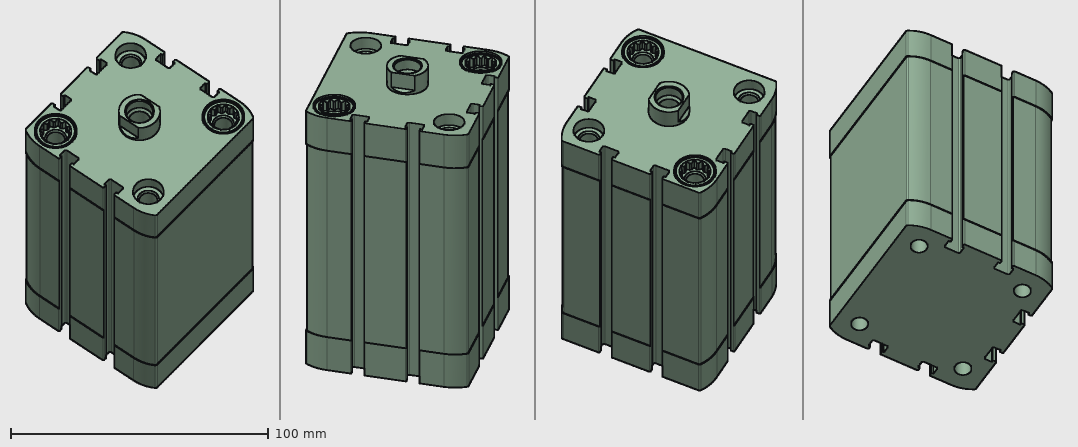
import cadquery as cq
import math

WIDTH = 65.5
TOTAL_HEIGHT = 123.2
ROD_EXPOSED = 8.3
CAP_HEIGHT = 15.0
TUBE_INSET = 0.2
HOUSING_HEIGHT = TOTAL_HEIGHT - ROD_EXPOSED
HALF_WIDTH = WIDTH / 2

CORNER_RUN = 9.2
CORNER_DROP = 2.7
CORNER_EDGE_RADIUS = 1.0

SLOT_OFFSET = 11.1
SLOT_MOUTH = 5.2
SLOT_INNER = 6.9
SLOT_LIP = 1.6
SLOT_DEPTH = 5.0
SLOT_EDGE_ROUNDING = 0.4
SLOT_FLOOR_ROUNDING = 0.6

HOLE_OFFSET = 23.2
HOLE_DIAMETER = 6.7
HOLE_MOUTH_DIAMETER = 7.0
HOLE_CHAMFER_DIAMETER = 8.4
RECESS_DIAMETER = 12.0
RECESS_DEPTH = 5.0

COLLAR_BORE_DIAMETER = 16.4
COLLAR_BORE_DEPTH = 1.0
COLLAR_DIAMETER = 15.5
COLLAR_CHAMFER = 0.4
COLLAR_DROP = 0.4
SOCKET_POINTS = 12
SOCKET_OUTER_DIAMETER = 12.5
SOCKET_INNER_DIAMETER = 10.5
SOCKET_TOOTH_TIP = 0.7
SOCKET_LEAD_DIAMETER = 12.2
SOCKET_LEAD_DEPTH = 1.0

ROD_DIAMETER = 16.0
ROD_INSERTED = CAP_HEIGHT
FLATS_WIDTH = 12.9
FLATS_BASE = 1.6
FLATS_SLOPE_ANGLE = 30.0
THREAD_DIAMETER = 10.5
THREAD_MOUTH_DIAMETER = 11.3
THREAD_MOUTH_DEPTH = 0.5
THREAD_DEPTH = 4.9
DRILL_DIAMETER = 8.4
DRILL_DEPTH = 14.8
DRILL_POINT_ANGLE = 118.0


def cone(base_diameter, top_diameter, base_z, top_z):
    """Cone frustum (or pointed cone) around the Z axis."""
    return cq.Workplane(cq.Solid.makeCone(
        base_diameter / 2, top_diameter / 2, top_z - base_z, pnt=cq.Vector(0, 0, base_z)))


def cylinder(diameter, base_z, top_z):
    """Cylinder around the Z axis."""
    return cq.Workplane("XY", origin=(0, 0, base_z)).circle(diameter / 2).extrude(top_z - base_z)


def polar_point(radius, angle):
    """X and Y of a point at an angle in radians."""
    return (radius * math.cos(angle), radius * math.sin(angle))


def profile_block(inset, base_z, height):
    """Square block whose +Y and -Y sides curve down towards the corners."""
    side = HALF_WIDTH - inset
    flat_end = HALF_WIDTH - CORNER_RUN
    shoulder = side - CORNER_DROP
    radius = ((side - flat_end) ** 2 + CORNER_DROP ** 2) / (2 * CORNER_DROP)
    outline = (
        cq.Workplane("XY", origin=(0, 0, base_z))
        .moveTo(-flat_end, side)
        .lineTo(flat_end, side)
        .radiusArc((side, shoulder), radius)
        .lineTo(side, -shoulder)
        .radiusArc((flat_end, -side), radius)
        .lineTo(-flat_end, -side)
        .radiusArc((-side, -shoulder), radius)
        .lineTo(-side, shoulder)
        .radiusArc((-flat_end, side), radius)
        .close()
    )
    block = outline.extrude(height)
    return block.edges("|Z and (>X or <X)").fillet(CORNER_EDGE_RADIUS)


def slot_cutter():
    """T-slot running up the +Y side at X = 0, with rounded mouth edges and floor corners."""
    mouth = SLOT_MOUTH / 2
    inner = SLOT_INNER / 2
    lip = HALF_WIDTH - SLOT_LIP
    floor = HALF_WIDTH - SLOT_DEPTH
    rounding = SLOT_EDGE_ROUNDING
    corner = SLOT_FLOOR_ROUNDING
    return (
        cq.Workplane("XY")
        .moveTo(-mouth - rounding, HALF_WIDTH)
        .radiusArc((-mouth, HALF_WIDTH - rounding), rounding)
        .lineTo(-mouth, lip)
        .lineTo(-inner, lip)
        .lineTo(-inner, floor + corner)
        .radiusArc((-inner + corner, floor), -corner)
        .lineTo(inner - corner, floor)
        .radiusArc((inner, floor + corner), -corner)
        .lineTo(inner, lip)
        .lineTo(mouth, lip)
        .lineTo(mouth, HALF_WIDTH - rounding)
        .radiusArc((mouth + rounding, HALF_WIDTH), rounding)
        .close()
        .extrude(HOUSING_HEIGHT)
    )


def screw_hole():
    """Through hole, a little wider in the upper cap and chamfered at the recess floor."""
    floor = HOUSING_HEIGHT - RECESS_DEPTH
    chamfer = (HOLE_CHAMFER_DIAMETER - HOLE_MOUTH_DIAMETER) / 2
    hole = cylinder(HOLE_DIAMETER, 0, floor)
    hole = hole.union(cylinder(HOLE_MOUTH_DIAMETER, HOUSING_HEIGHT - CAP_HEIGHT, floor))
    return hole.union(cone(HOLE_MOUTH_DIAMETER, HOLE_CHAMFER_DIAMETER, floor - chamfer, floor))


def plain_recess():
    """Round screw-head recess and its hole."""
    recess = cylinder(RECESS_DIAMETER, HOUSING_HEIGHT - RECESS_DEPTH, HOUSING_HEIGHT)
    return recess.union(screw_hole())


def star_socket():
    """Twelve-point socket inside a chamfered collar, the groove around it, and its hole."""
    floor = HOUSING_HEIGHT - RECESS_DEPTH
    collar_top = HOUSING_HEIGHT - COLLAR_DROP
    collar_base = HOUSING_HEIGHT - COLLAR_BORE_DEPTH
    collar = cylinder(COLLAR_DIAMETER, collar_base, collar_top).faces(">Z").chamfer(COLLAR_CHAMFER)
    cutter = cylinder(COLLAR_BORE_DIAMETER, collar_base, HOUSING_HEIGHT).cut(collar)

    valley_radius = SOCKET_OUTER_DIAMETER / 2
    tip_radius = SOCKET_INNER_DIAMETER / 2
    half_pitch = math.pi / SOCKET_POINTS
    tip_half_angle = SOCKET_TOOTH_TIP / SOCKET_INNER_DIAMETER
    points = []
    for step in range(SOCKET_POINTS):
        valley = 2 * step * half_pitch
        tip = valley + half_pitch
        points.append(polar_point(valley_radius, valley))
        points.append(polar_point(tip_radius, tip - tip_half_angle))
        points.append(polar_point(tip_radius, tip + tip_half_angle))
    star = cq.Workplane("XY", origin=(0, 0, floor)).polyline(points).close().extrude(collar_top - floor)

    lead = cone(SOCKET_INNER_DIAMETER, SOCKET_LEAD_DIAMETER, collar_top - SOCKET_LEAD_DEPTH, collar_top)
    return cutter.union(star).union(lead).union(screw_hole())


def make_housing():
    """Slotted housing with its four screw holes and the bore that holds the rod."""
    body = profile_block(TUBE_INSET, 0, HOUSING_HEIGHT)
    for base_z in (0, HOUSING_HEIGHT - CAP_HEIGHT):
        body = body.union(profile_block(0, base_z, CAP_HEIGHT))

    for side_angle in (0, 90, 180):
        for offset in (-SLOT_OFFSET, SLOT_OFFSET):
            slot = slot_cutter().translate((offset, 0, 0))
            body = body.cut(slot.rotate((0, 0, 0), (0, 0, 1), side_angle))

    for sign in (-1, 1):
        body = body.cut(star_socket().translate((sign * HOLE_OFFSET, sign * HOLE_OFFSET, 0)))
        body = body.cut(plain_recess().translate((sign * HOLE_OFFSET, -sign * HOLE_OFFSET, 0)))

    return body.cut(cylinder(ROD_DIAMETER, HOUSING_HEIGHT - ROD_INSERTED, HOUSING_HEIGHT))


def flat_cutter():
    """Wrench flat on the +Y side of the rod, with a sloped lower end."""
    flat = FLATS_WIDTH / 2
    base = HOUSING_HEIGHT + FLATS_BASE
    slope_run = ROD_DIAMETER - flat
    slope_drop = slope_run * math.tan(math.radians(FLATS_SLOPE_ANGLE))
    return (
        cq.Workplane("YZ")
        .polyline([
            (flat, TOTAL_HEIGHT),
            (flat, base),
            (ROD_DIAMETER, base - slope_drop),
            (ROD_DIAMETER, TOTAL_HEIGHT),
        ])
        .close()
        .extrude(ROD_DIAMETER, both=True)
    )


def threaded_bore():
    """Stepped blind bore in the rod end with a conical mouth, shoulder and drill point."""
    thread_end = TOTAL_HEIGHT - THREAD_DEPTH
    drill_end = TOTAL_HEIGHT - DRILL_DEPTH
    shoulder = (THREAD_DIAMETER - DRILL_DIAMETER) / 2
    point = DRILL_DIAMETER / 2 / math.tan(math.radians(DRILL_POINT_ANGLE / 2))
    bore = cylinder(THREAD_DIAMETER, thread_end, TOTAL_HEIGHT)
    mouth_base = TOTAL_HEIGHT - THREAD_MOUTH_DEPTH
    bore = bore.union(cone(THREAD_DIAMETER, THREAD_MOUTH_DIAMETER, mouth_base, TOTAL_HEIGHT))
    bore = bore.union(cone(DRILL_DIAMETER, THREAD_DIAMETER, thread_end - shoulder, thread_end))
    bore = bore.union(cylinder(DRILL_DIAMETER, drill_end, thread_end))
    return bore.union(cone(0, DRILL_DIAMETER, drill_end - point, drill_end))


def make_rod():
    """Piston rod with two wrench flats and a threaded bore."""
    rod = cylinder(ROD_DIAMETER, HOUSING_HEIGHT - ROD_INSERTED, TOTAL_HEIGHT)
    for side_angle in (0, 180):
        rod = rod.cut(flat_cutter().rotate((0, 0, 0), (0, 0, 1), side_angle))
    return rod.cut(threaded_bore())


housing = make_housing()
piston_rod = make_rod()

result = cq.Compound.makeCompound([housing.val(), piston_rod.val()])